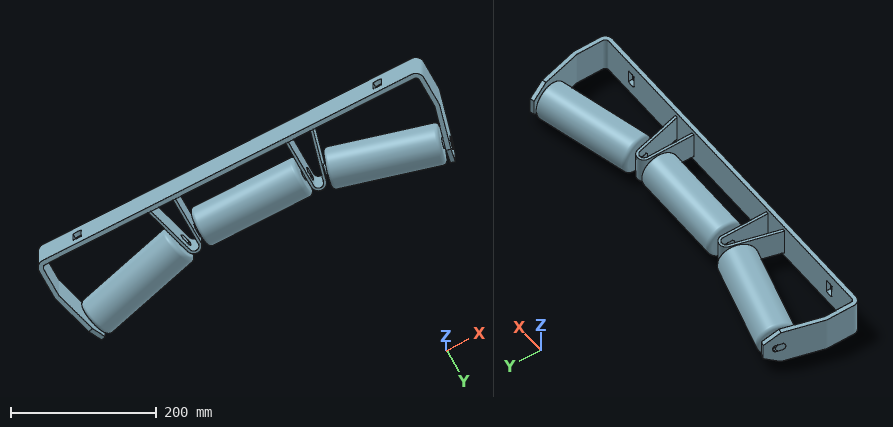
import cadquery as cq
import math

frame_length = 600.0
frame_depth = 147.5
width = 60.0
tilt = 15.0

strap_thickness = 7.0
strap_bend = 12.5
arm_bend_height = 56.0
arm_tip_width = 27.5
arm_taper_length = 26.0
mount_slot_width = 12.5
mount_slot_length = 24.0
mount_slot_x = 234.0

hairpin_thickness = 4.0
hairpin_width = 45.0
hairpin_bend = 11.5
hairpin_top = 94.0
hairpin_gap = 171.5

roller_diameter = 60.0
roller_length = 162.0
roller_rounding = 6.0
axle_diameter = 15.0
axle_flat_width = 12.5
axle_slot_length = 19.0
middle_axle_y = 71.0
side_axle_y = 99.0

sin_tilt = math.sin(math.radians(tilt))
cos_tilt = math.cos(math.radians(tilt))
axis_dir = cq.Vector(cos_tilt, -sin_tilt, 0)
arm_dir = cq.Vector(sin_tilt, cos_tilt, 0)


def arc_point(centre, radius, angle):
    """The point in the XY plane at this angle, in degrees from +X, around the centre."""
    turn = math.radians(angle)
    return (centre.x + radius * math.cos(turn), centre.y + radius * math.sin(turn))


arm_bend_centre = cq.Vector(strap_bend - frame_length / 2, arm_bend_height, 0)
hairpin_bend_centre = cq.Vector(-hairpin_gap / 2 - hairpin_bend, hairpin_top - hairpin_bend, 0)
arm_outer_offset = arm_bend_centre.dot(axis_dir) - strap_bend
arm_inner_offset = arm_outer_offset + strap_thickness
leg_outer_offset = hairpin_bend_centre.dot(axis_dir) - hairpin_bend
side_gap = leg_outer_offset - arm_inner_offset

arm_outer_start = cq.Vector(*arc_point(arm_bend_centre, strap_bend, 180 - tilt))
arm_outer_tip = arm_outer_start + arm_dir * ((frame_depth - arm_outer_start.y) / cos_tilt)

side_offset = (arm_inner_offset + leg_outer_offset) / 2
side_rise = (side_axle_y + side_offset * sin_tilt) / cos_tilt
side_centre = axis_dir * side_offset + arm_dir * side_rise
middle_centre = cq.Vector(0, middle_axle_y, 0)


def flat_sided_bar(plane, length, bar_width, end_radius, start, end):
    """A bar with two flat sides along the plane's local X and shallow round ends."""
    tip = length / 2
    shoulder = tip - end_radius + math.sqrt(end_radius**2 - bar_width**2 / 4)
    side = bar_width / 2
    return (
        cq.Workplane(plane)
        .workplane(offset=start)
        .moveTo(-shoulder, -side)
        .lineTo(shoulder, -side)
        .threePointArc((tip, 0), (shoulder, side))
        .lineTo(-shoulder, side)
        .threePointArc((-tip, 0), (-shoulder, -side))
        .close()
        .extrude(end - start)
    )


def axle_slot(seat, along_leg, axis, depth):
    """A slot through a leg; its base end fits the axle centred on the seat."""
    shift = (axle_slot_length - axle_diameter) / 2
    plane = cq.Plane(origin=seat + along_leg * shift, xDir=along_leg, normal=axis)
    return flat_sided_bar(
        plane, axle_slot_length, axle_flat_width, axle_diameter / 2, -depth / 2, depth / 2
    )


def make_left_strap():
    """The left half of the bent strap, with a square-ended arm."""
    half = frame_length / 2
    inner_bend = strap_bend - strap_thickness
    corner_middle = 225
    arm_bend_start = 180
    arm_bend_middle = 180 - tilt / 2
    arm_bend_end = 180 - tilt
    corner = cq.Vector(strap_bend - half, strap_bend, 0)
    inner_tip = arm_outer_tip + axis_dir * strap_thickness

    return (
        cq.Workplane("XY")
        .moveTo(0, 0)
        .lineTo(corner.x, 0)
        .threePointArc(arc_point(corner, strap_bend, corner_middle), (-half, corner.y))
        .lineTo(-half, arm_bend_height)
        .threePointArc(arc_point(arm_bend_centre, strap_bend, arm_bend_middle), arm_outer_start.toTuple()[:2])
        .lineTo(arm_outer_tip.x, arm_outer_tip.y)
        .lineTo(inner_tip.x, inner_tip.y)
        .lineTo(*arc_point(arm_bend_centre, inner_bend, arm_bend_end))
        .threePointArc(
            arc_point(arm_bend_centre, inner_bend, arm_bend_middle),
            arc_point(arm_bend_centre, inner_bend, arm_bend_start),
        )
        .lineTo(strap_thickness - half, corner.y)
        .threePointArc(arc_point(corner, inner_bend, corner_middle), (corner.x, strap_thickness))
        .lineTo(0, strap_thickness)
        .close()
        .extrude(width / 2, both=True)
    )


def taper_arm_tip(left_half):
    tip_plane = cq.Plane(origin=arm_outer_tip, xDir=arm_dir, normal=axis_dir)
    for edge in (1, -1):
        corner_cut = (
            cq.Workplane(tip_plane)
            .moveTo(0, edge * arm_tip_width / 2)
            .lineTo(0, edge * width / 2)
            .lineTo(-arm_taper_length, edge * width / 2)
            .close()
            .extrude(2 * strap_thickness, both=True)
        )
        left_half = left_half.cut(corner_cut)
    return left_half


def mounting_slot():
    """The slot through the base on the left, its long way across the strap."""
    plane = cq.Plane(origin=(-mount_slot_x, 0, 0), xDir=(0, 0, 1), normal=(0, 1, 0))
    return flat_sided_bar(
        plane, mount_slot_length, mount_slot_width, mount_slot_length / 2, 0, strap_thickness
    )


def make_frame():
    arm_seat = side_centre - axis_dir * (side_gap / 2 + strap_thickness / 2)
    left_half = taper_arm_tip(make_left_strap())
    left_half = left_half.cut(axle_slot(arm_seat, arm_dir, axis_dir, strap_thickness))
    left_half = left_half.cut(mounting_slot())
    return left_half.union(left_half.mirror("YZ"))


def make_left_hairpin():
    centre = hairpin_bend_centre
    inner_bend = hairpin_bend - hairpin_thickness
    crown = 90 - tilt / 2

    def foot(radius):
        """Where the sloping leg's face, tangent to the bend at this radius, meets the base."""
        x, y = arc_point(centre, radius, 180 - tilt)
        return (x - (y - strap_thickness) * sin_tilt / cos_tilt, strap_thickness)

    hairpin = (
        cq.Workplane("XY")
        .moveTo(centre.x + hairpin_bend, strap_thickness)
        .lineTo(*arc_point(centre, hairpin_bend, 0))
        .threePointArc(arc_point(centre, hairpin_bend, crown), arc_point(centre, hairpin_bend, 180 - tilt))
        .lineTo(*foot(hairpin_bend))
        .lineTo(*foot(inner_bend))
        .lineTo(*arc_point(centre, inner_bend, 180 - tilt))
        .threePointArc(arc_point(centre, inner_bend, crown), arc_point(centre, inner_bend, 0))
        .lineTo(centre.x + inner_bend, strap_thickness)
        .close()
        .extrude(hairpin_width / 2, both=True)
    )
    along_x = cq.Vector(1, 0, 0)
    straight_seat = middle_centre - along_x * (hairpin_gap / 2 + hairpin_thickness / 2)
    sloping_seat = side_centre + axis_dir * (side_gap / 2 + hairpin_thickness / 2)
    hairpin = hairpin.cut(axle_slot(straight_seat, cq.Vector(0, 1, 0), along_x, hairpin_thickness))
    return hairpin.cut(axle_slot(sloping_seat, arm_dir, axis_dir, hairpin_thickness))


def make_roller(centre, axis, along_leg, gap, start_leg, end_leg):
    """A roller with its fixed axle: round across the gap between the legs, flat-sided inside them."""
    plane = cq.Plane(origin=centre, xDir=along_leg, normal=axis)

    def rod(diameter, length):
        return cq.Workplane(plane).workplane(offset=-length / 2).circle(diameter / 2).extrude(length)

    shell = rod(roller_diameter, roller_length).edges("%CIRCLE").fillet(roller_rounding)
    round_axle = rod(axle_diameter, gap)
    flat_ends = flat_sided_bar(
        plane,
        axle_diameter,
        axle_flat_width,
        axle_diameter / 2,
        -gap / 2 - start_leg,
        gap / 2 + end_leg,
    )
    return shell.union(round_axle).union(flat_ends)


frame = make_frame()
left_hairpin = make_left_hairpin()
hairpins = [left_hairpin, left_hairpin.mirror("YZ")]
middle_roller = make_roller(
    middle_centre,
    cq.Vector(1, 0, 0),
    cq.Vector(0, 1, 0),
    hairpin_gap,
    hairpin_thickness,
    hairpin_thickness,
)
left_roller = make_roller(
    side_centre, axis_dir, arm_dir, side_gap, strap_thickness, hairpin_thickness
)
rollers = [left_roller, middle_roller, left_roller.mirror("YZ")]

result = cq.Compound.makeCompound([body.val() for body in [frame, *hairpins, *rollers]])